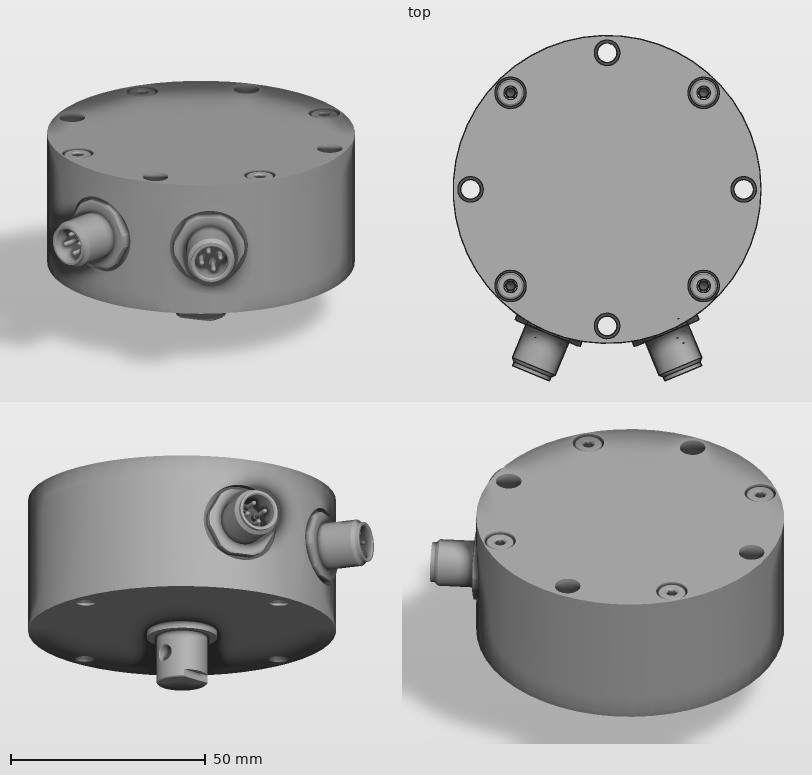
import cadquery as cq
import math

body_diameter = 79.0
housing_height = 30.05
cover_thickness = 5.0
cover_top = housing_height + cover_thickness

bolt_circle_radius = 35.0
bolt_count = 4
screw_turn = 45
mount_hole_diameter = 5.0
cover_hole_diameter = 6.6

screw_head_diameter = 7.0
screw_head_height = 4.0
screw_head_rounding = 0.4
screw_recess_diameter = 8.1
screw_recess_depth = 4.25
screw_shank_diameter = 4.0
screw_shank_length = 8.0
screw_head_bottom = cover_top - screw_recess_depth
screw_head_top = screw_head_bottom + screw_head_height
screw_tip = screw_head_bottom - screw_shank_length
socket_across_flats = 2.5
socket_depth = 2.0
socket_drill_diameter = 2.2
socket_mouth_diameter = 3.5

shaft_diameter = 13.0
shaft_bottom = -14.1
shaft_edge_chamfer = 0.3
collar_diameter = 18.0
collar_thickness = 1.9
cross_hole_diameter = 4.1
cross_hole_chamfer = 0.3
cross_hole_z = -7.2
step_flat_offset = 5.0
step_height = 1.95

connector_angle = 22.5
connector_z = 18.0
seat_diameter = 20.0
seat_distance = 37.6
nut_face_distance = 40.0
nut_across_flats = 17.0
nut_corner_diameter = 18.1
nut_face_diameter = 16.8
nut_chamfer_height = 0.2
barrel_diameter = 12.0
barrel_end_distance = 49.1
tip_diameter = 10.3
tip_start_distance = 50.0
tip_end_distance = 51.05
plug_bore_diameter = 8.5
plug_bore_depth = 9.3
bore_mouth_chamfer = 0.35
insert_diameter = 7.6
insert_height = 0.35
contact_diameter = 1.15
contact_length = 8.0
contact_collar_diameter = 1.9
contact_collar_height = 2.1
contact_tip_rounding = 0.5
contact_circle_radius = 2.5
contact_ring_turn = 15
contact_count = 4


def ring_points(radius, count, first_angle):
    """Points evenly spaced on a circle, the first one at the given angle in degrees."""
    angles = [math.radians(first_angle + 360 / count * i) for i in range(count)]
    return [(radius * math.cos(a), radius * math.sin(a)) for a in angles]


mount_points = ring_points(bolt_circle_radius, bolt_count, 0)
screw_points = ring_points(bolt_circle_radius, bolt_count, screw_turn)


def cylinder(diameter, bottom, top, points=((0, 0),)):
    return (
        cq.Workplane("XY").workplane(offset=bottom).pushPoints(points)
        .circle(diameter / 2).extrude(top - bottom)
    )


def hexagon(across_flats, bottom, top):
    """Hexagonal prism with two of its corners on the X axis."""
    across_corners = across_flats / math.cos(math.pi / 6)
    return (
        cq.Workplane("XY").workplane(offset=bottom)
        .polygon(6, across_corners).extrude(top - bottom)
    )


def pointed_cone(diameter, top):
    """Cone with 45 degree sides that narrows to a point below its top."""
    radius = diameter / 2
    return cq.Workplane(cq.Solid.makeCone(0, radius, radius, cq.Vector(0, 0, top - radius)))


def place_connector(shape, side):
    """Turn a shape built along +Z so that it points outward at one connector."""
    upright = shape.rotate((0, 0, 0), (1, 0, 0), 90)
    return upright.rotate((0, 0, 0), (0, 0, 1), side * connector_angle).translate((0, 0, connector_z))


def make_housing():
    housing = cylinder(body_diameter, 0, housing_height)
    housing = housing.cut(cylinder(mount_hole_diameter, 0, housing_height, mount_points))
    housing = housing.cut(cylinder(screw_shank_diameter, screw_tip, housing_height, screw_points))
    seat = cylinder(seat_diameter, seat_distance, body_diameter / 2)
    for side in (-1, 1):
        housing = housing.cut(place_connector(seat, side))
    return housing


def make_cover():
    cover = cylinder(body_diameter, housing_height, cover_top)
    cover = cover.cut(cylinder(cover_hole_diameter, housing_height, cover_top, mount_points))
    cover = cover.cut(cylinder(screw_shank_diameter, housing_height, cover_top, screw_points))
    return cover.cut(cylinder(screw_recess_diameter, screw_head_bottom, cover_top, screw_points))


def make_screw(point):
    head = cylinder(screw_head_diameter, screw_head_bottom, screw_head_top)
    head = head.faces(">Z").edges().fillet(screw_head_rounding)
    socket = hexagon(socket_across_flats, screw_head_top - socket_depth, screw_head_top)
    mouth = pointed_cone(socket_mouth_diameter, screw_head_top)
    drill_tip = pointed_cone(socket_drill_diameter, screw_head_top - socket_depth)
    shank = cylinder(screw_shank_diameter, screw_tip, screw_head_bottom)
    return head.union(shank).cut(socket).cut(mouth).cut(drill_tip).translate((*point, 0))


def make_shaft():
    shaft = cylinder(shaft_diameter, shaft_bottom, 0)
    shaft = shaft.faces("<Z").edges().chamfer(shaft_edge_chamfer)
    collar = cylinder(collar_diameter, -collar_thickness, 0)
    shaft = shaft.union(collar.faces(">Z").edges().chamfer(shaft_edge_chamfer))
    cross_hole = (
        cq.Workplane("YZ").center(0, cross_hole_z)
        .circle(cross_hole_diameter / 2).extrude(shaft_diameter, both=True)
    )
    step = cq.Workplane("XY").box(
        shaft_diameter, shaft_diameter, step_height, centered=(True, False, False)
    ).translate((0, -step_flat_offset - shaft_diameter, shaft_bottom))
    rims = cq.selectors.BoxSelector(
        (-shaft_diameter, -cross_hole_diameter, cross_hole_z - cross_hole_diameter),
        (shaft_diameter, cross_hole_diameter, cross_hole_z + cross_hole_diameter),
    )
    shaft = shaft.cut(cross_hole)
    shaft = shaft.edges(rims).edges("not %LINE").chamfer(cross_hole_chamfer)
    return shaft.cut(step)


def make_nut():
    """Hexagon with its corners turned down and a chamfered outer face."""
    blank = hexagon(nut_across_flats, seat_distance, nut_face_distance)
    chamfer_radius = nut_corner_diameter / 2
    envelope = (
        cq.Workplane("XZ")
        .moveTo(0, seat_distance)
        .lineTo(chamfer_radius, seat_distance)
        .lineTo(chamfer_radius, nut_face_distance - nut_chamfer_height)
        .lineTo(nut_face_diameter / 2, nut_face_distance)
        .lineTo(0, nut_face_distance)
        .close()
        .revolve(360, (0, 0, 0), (0, 1, 0))
    )
    return blank.intersect(envelope)


def make_connector(side):
    barrel = (
        cq.Workplane("XZ")
        .moveTo(0, seat_distance)
        .lineTo(barrel_diameter / 2, seat_distance)
        .lineTo(barrel_diameter / 2, barrel_end_distance)
        .lineTo(tip_diameter / 2, tip_start_distance)
        .lineTo(tip_diameter / 2, tip_end_distance)
        .lineTo(0, tip_end_distance)
        .close()
        .revolve(360, (0, 0, 0), (0, 1, 0))
    )
    bore_floor = tip_end_distance - plug_bore_depth
    bore = cylinder(plug_bore_diameter, bore_floor, tip_end_distance)
    shell = barrel.cut(bore)
    mouth_edge = cq.selectors.RadiusNthSelector(0)
    shell = shell.faces(">Z").edges(mouth_edge).chamfer(bore_mouth_chamfer)
    contact_points = ring_points(contact_circle_radius, contact_count, contact_ring_turn)
    contacts = cylinder(contact_diameter, bore_floor, bore_floor + contact_length, contact_points)
    contacts = contacts.faces(">Z").edges().fillet(contact_tip_rounding)
    collars = cylinder(
        contact_collar_diameter, bore_floor, bore_floor + contact_collar_height, contact_points
    )
    insert = cylinder(insert_diameter, bore_floor, bore_floor + insert_height)
    connector = make_nut().union(shell).union(insert).union(contacts).union(collars)
    return place_connector(connector, side)


housing = make_housing()
cover = make_cover()
shaft = make_shaft()
screws = [make_screw(point) for point in screw_points]
connectors = [make_connector(side) for side in (-1, 1)]

result = cq.Compound.makeCompound(
    [housing.val(), cover.val(), shaft.val()]
    + [screw.val() for screw in screws]
    + [connector.val() for connector in connectors]
)